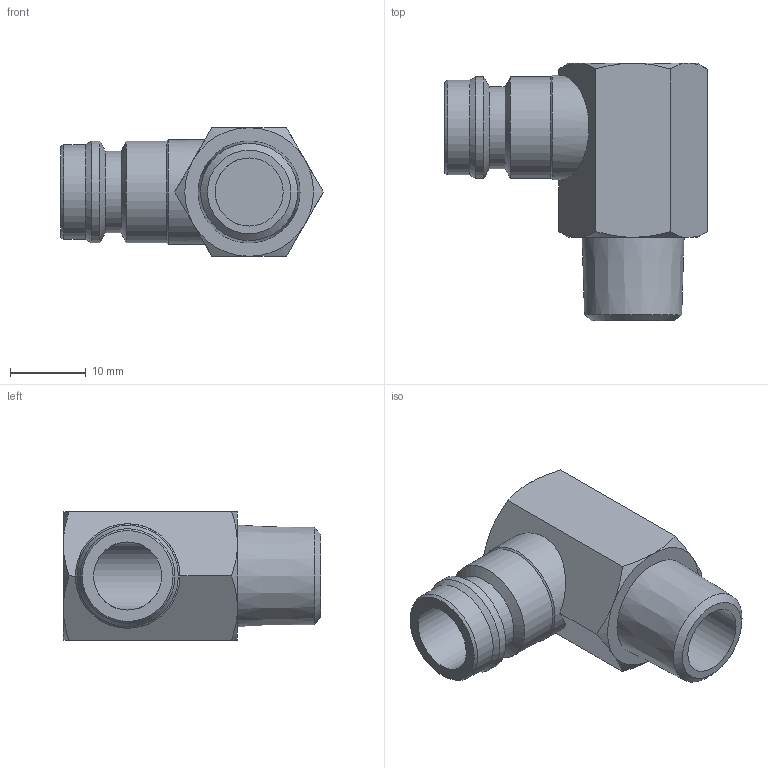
import cadquery as cq
import math


hex_across_flats = 17.0
hex_length = 23.0
hex_back_y = 8.5
hex_front_y = hex_back_y - hex_length
hex_chamfer_angle = 30.0
hex_sides = 6
hex_corner_radius = hex_across_flats / 2 / math.cos(math.pi / hex_sides)
hex_cone_overrun = 1.0

spigot_length = 11.0
spigot_end_y = hex_front_y - spigot_length
gauge_length = 6.0
gauge_diameter = 13.157
taper = 1 / 16
spigot_chamfer_length = 0.8
spigot_end_radius = 5.5

plug_reach = 24.9
plug_end_radius = 6.0
plug_nose_radius = 6.25
plug_ring_radius = 6.7
plug_groove_radius = 5.4
plug_root_radius = 6.9
plug_end_chamfer = 0.4
ring_slope_start = 3.3
ring_start = 4.1
ring_end = 5.2
groove_start = 5.9
groove_end = 8.0
shoulder_start = 8.7
root_slope_start = 14.0
root_start = 14.2

bore_radius = 4.5


def revolve_about_y(points):
    """Turn a closed (radius, y) outline about the Y axis."""
    return cq.Workplane("XY").polyline(points).close().revolve(360, (0, 0, 0), (0, 1, 0))


def make_body():
    """Hexagonal bar whose end corners are cut back by a cone."""
    bar = (
        cq.Workplane("XZ", origin=(0, hex_back_y, 0))
        .polygon(hex_sides, 2 * hex_corner_radius)
        .extrude(hex_length)
    )
    face_radius = hex_across_flats / 2
    envelope_radius = hex_corner_radius + hex_cone_overrun
    slope = math.tan(math.radians(hex_chamfer_angle))
    cut_depth = (envelope_radius - face_radius) * slope
    envelope = revolve_about_y([
        (0, hex_back_y),
        (face_radius, hex_back_y),
        (envelope_radius, hex_back_y - cut_depth),
        (envelope_radius, hex_front_y + cut_depth),
        (face_radius, hex_front_y),
        (0, hex_front_y),
    ])
    return bar.intersect(envelope)


def spigot_radius(distance_from_end):
    """Radius of the tapered surface at a distance from the spigot's free end."""
    return (gauge_diameter + (distance_from_end - gauge_length) * taper) / 2


def make_spigot():
    """Tapered spigot with a chamfered free end; its root runs inside the body up to the plug axis."""
    return revolve_about_y([
        (0, 0),
        (spigot_radius(spigot_length), 0),
        (spigot_radius(spigot_length), hex_front_y),
        (spigot_radius(spigot_chamfer_length), spigot_end_y + spigot_chamfer_length),
        (spigot_end_radius, spigot_end_y),
        (0, spigot_end_y),
    ])


def make_plug():
    """Stepped and grooved plug turned about the X axis."""
    steps = [
        (0, 0),
        (0, plug_end_radius),
        (plug_end_chamfer, plug_nose_radius),
        (ring_slope_start, plug_nose_radius),
        (ring_start, plug_ring_radius),
        (ring_end, plug_ring_radius),
        (groove_start, plug_groove_radius),
        (groove_end, plug_groove_radius),
        (shoulder_start, plug_ring_radius),
        (root_slope_start, plug_ring_radius),
        (root_start, plug_root_radius),
        (plug_reach, plug_root_radius),
        (plug_reach, 0),
    ]
    outline = [(distance - plug_reach, radius) for distance, radius in steps]
    return cq.Workplane("XY").polyline(outline).close().revolve(360, (0, 0, 0), (1, 0, 0))


def make_bores():
    """Two equal bores: the spigot bore passes just across the plug bore, which ends on its axis."""
    spigot_bore = (
        cq.Workplane("XZ", origin=(0, bore_radius, 0))
        .circle(bore_radius)
        .extrude(bore_radius - spigot_end_y)
    )
    plug_bore = cq.Workplane("YZ", origin=(-plug_reach, 0, 0)).circle(bore_radius).extrude(plug_reach)
    return spigot_bore.union(plug_bore)


result = make_body().union(make_spigot()).union(make_plug()).cut(make_bores())